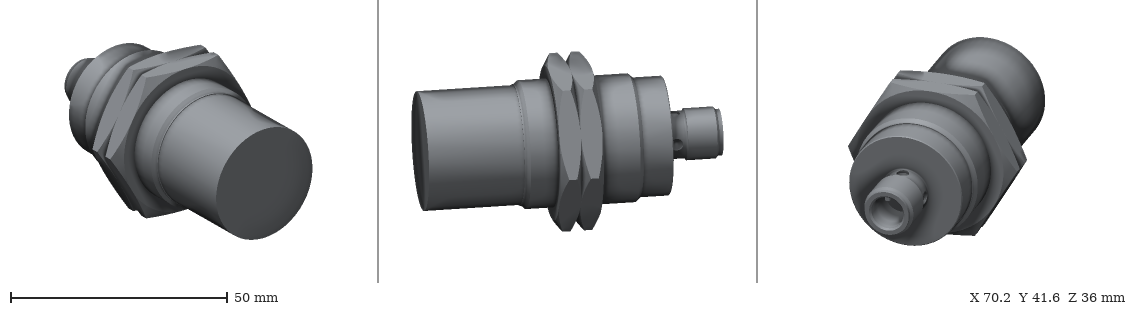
import cadquery as cq
import math

total_length = 70.2

nose_radius = 5.4
nose_length = 0.9
plug_thread_radius = 6.05
plug_thread_start = 1.5
plug_thread_end = 8.35
neck_radius = 5.55
neck_blend = 0.55
plug_length = 12.9
neck_foot_radius = 0.3

barrel_radius = 13.9
face_chamfer = 0.2
thread_radius = 14.95
thread_start = 19.95
thread_end = 47.8
collar_radius = 14.1
collar_length = 0.4
thread_lead_in = 0.9

socket_radius = 3.9
socket_depth = 10.05
socket_chamfer = 0.4
key_width = 1.05
key_bottom = 3.0

dimple_count = 4
dimple_radius = 1.5
dimple_straight_floor = 4.85
dimple_cone_depth = 0.85
dimple_x = 10.95

nut_sides = 6
nut_across_flats = 36.0
nut_width = 5.05
nut_start = 29.9
nut_count = 2
nut_chamfer_angle = 30.0


def make_envelope():
    """Solid of revolution that gives the outer shape of the sensor."""
    neck_start = plug_thread_end + neck_blend
    blend_sag = neck_blend * (1 - math.sqrt(0.5))
    foot_sag = neck_foot_radius * (1 - math.sqrt(0.5))
    collar_start = thread_end - collar_length
    return (
        cq.Workplane("XY")
        .moveTo(0, 0)
        .lineTo(0, nose_radius)
        .lineTo(nose_length, nose_radius)
        .lineTo(plug_thread_start, plug_thread_radius)
        .lineTo(plug_thread_end, plug_thread_radius)
        .threePointArc(
            (plug_thread_end + blend_sag, neck_radius + blend_sag),
            (neck_start, neck_radius),
        )
        .lineTo(plug_length - neck_foot_radius, neck_radius)
        .threePointArc(
            (plug_length - foot_sag, neck_radius + foot_sag),
            (plug_length, neck_radius + neck_foot_radius),
        )
        .lineTo(plug_length, barrel_radius - face_chamfer)
        .lineTo(plug_length + face_chamfer, barrel_radius)
        .lineTo(thread_start, barrel_radius)
        .lineTo(thread_start, collar_radius)
        .lineTo(thread_start + thread_lead_in, thread_radius)
        .lineTo(collar_start - thread_lead_in, thread_radius)
        .lineTo(collar_start, collar_radius)
        .lineTo(thread_end, collar_radius)
        .lineTo(thread_end, barrel_radius)
        .lineTo(total_length, barrel_radius)
        .lineTo(total_length, 0)
        .close()
        .revolve(360, (0, 0, 0), (1, 0, 0))
    )


def make_socket():
    """Blind round socket with a chamfered mouth, less a keying rib that starts behind the chamfer."""
    bore = (
        cq.Workplane("XY")
        .moveTo(0, 0)
        .lineTo(0, socket_radius + socket_chamfer)
        .lineTo(socket_chamfer, socket_radius)
        .lineTo(socket_depth, socket_radius)
        .lineTo(socket_depth, 0)
        .close()
        .revolve(360, (0, 0, 0), (1, 0, 0))
    )
    key_length = socket_depth - socket_chamfer
    key_height = socket_radius + socket_chamfer - key_bottom
    key = (
        cq.Workplane("XY")
        .box(key_length, key_width, key_height, centered=(False, True, False))
        .translate((socket_chamfer, 0, key_bottom))
    )
    return bore.cut(key)


def make_dimple(angle):
    """Drilled dimple, straight then conical, turned by angle about the X axis."""
    return (
        cq.Workplane("XZ")
        .moveTo(dimple_x, dimple_straight_floor - dimple_cone_depth)
        .lineTo(dimple_x + dimple_radius, dimple_straight_floor)
        .lineTo(dimple_x + dimple_radius, plug_thread_radius)
        .lineTo(dimple_x, plug_thread_radius)
        .close()
        .revolve(360, (dimple_x, 0, 0), (dimple_x, 1, 0))
        .rotate((0, 0, 0), (1, 0, 0), angle)
    )


def make_sensor():
    sensor = make_envelope().cut(make_socket())
    for index in range(dimple_count):
        sensor = sensor.cut(make_dimple(index * 360 / dimple_count))
    return sensor


def make_nut(start):
    """Hexagon nut with flats facing +Z and -Z, both faces chamfered by a cone."""
    flat_radius = nut_across_flats / 2
    corner_radius = flat_radius / math.cos(math.pi / nut_sides)
    chamfer_width = (corner_radius - flat_radius) * math.tan(math.radians(nut_chamfer_angle))
    hexagon = (
        cq.Workplane("YZ")
        .polygon(nut_sides, 2 * corner_radius)
        .circle(thread_radius)
        .extrude(nut_width)
    )
    chamfer_envelope = (
        cq.Workplane("XY")
        .moveTo(0, 0)
        .lineTo(0, flat_radius)
        .lineTo(chamfer_width, corner_radius)
        .lineTo(nut_width - chamfer_width, corner_radius)
        .lineTo(nut_width, flat_radius)
        .lineTo(nut_width, 0)
        .close()
        .revolve(360, (0, 0, 0), (1, 0, 0))
    )
    return hexagon.intersect(chamfer_envelope).translate((start, 0, 0))


sensor = make_sensor()
nuts = [make_nut(nut_start + index * nut_width) for index in range(nut_count)]

result = cq.Compound.makeCompound([sensor.val(), *[nut.val() for nut in nuts]])